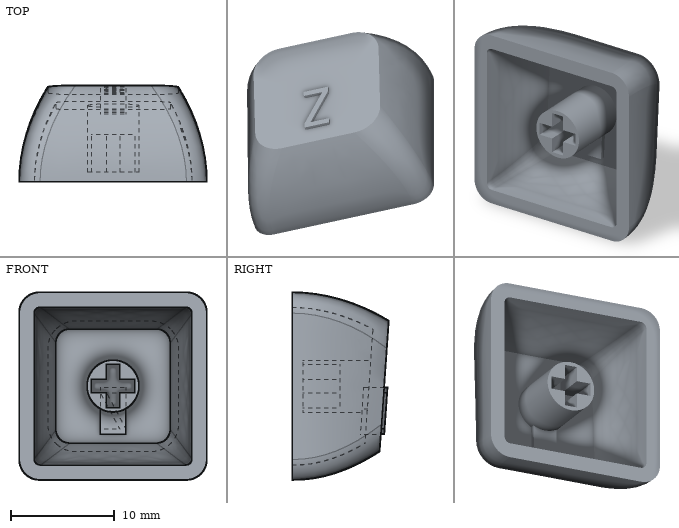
import cadquery as cq
import math

rim_size = 18.1
rim_corner_radius = 2.0
touch_size = 12.6
touch_corner_radius = 2.65
touch_height = 8.87
touch_tilt = 4.0

section_count = 5
closing_power = 2.0
tilt_power = 1.5

plate_thickness = 1.5
mouth_size = 15.2
mouth_corner_radius = 0.6
floor_size = 11.0
floor_corner_radius = 1.3
floor_height = touch_height - plate_thickness

stem_diameter = 5.0
stem_recess = 1.0
cross_span = 4.2
cross_slot_width = 1.27
cross_depth = 3.6

legend_width = 2.46
legend_height = 4.5
legend_center = -2.38
block_proud = 0.5
letter_proud = 0.33
letter_bar = 0.52
letter_diagonal = 0.6


def tilted_plane(height, tilt):
    """Plane looking toward +Y; its local x runs toward -X and its local y toward +Z."""
    angle = math.radians(tilt)
    return cq.Plane(
        origin=(0, height, 0),
        xDir=(-1, 0, 0),
        normal=(0, math.cos(angle), -math.sin(angle)),
    )


def rounded_square(size, radius, plane):
    """Sketch of a square with rounded corners, centred on a plane."""
    return cq.Sketch().rect(size, size).vertices().fillet(radius).moved(plane.location)


def curved_form(start_size, start_radius, end_size, end_radius, height):
    """Solid that rises from a flat rounded square to a smaller, tilted one along curved walls."""
    sections = []
    for index in range(section_count):
        rise = index / (section_count - 1)
        closing = rise**closing_power
        size = start_size + (end_size - start_size) * closing
        radius = start_radius + (end_radius - start_radius) * closing
        plane = tilted_plane(height * rise, touch_tilt * rise**tilt_power)
        sections.append(rounded_square(size, radius, plane))
    return cq.Workplane().placeSketch(*sections).loft()


def make_stem():
    """Round stem that ends inside the touch plate, past the tilted cavity floor."""
    length = touch_height - plate_thickness / 2 - stem_recess
    tip = cq.Workplane(tilted_plane(stem_recess, 0))
    stem = tip.circle(stem_diameter / 2).extrude(length)
    upright = tip.rect(cross_slot_width, cross_span).extrude(cross_depth)
    crossbar = tip.rect(cross_span, cross_slot_width).extrude(cross_depth)
    return stem.cut(upright).cut(crossbar)


def tilted_slab(bottom, top):
    """Slab parallel to the touch face, wide enough to trim any legend profile."""
    slab = cq.Workplane(tilted_plane(bottom, touch_tilt)).rect(touch_size, touch_size)
    return slab.extrude((top - bottom) * math.cos(math.radians(touch_tilt)))


def make_legend():
    """Profiles extruded along Y, with ends trimmed parallel to the touch face."""
    right = legend_width / 2
    top = legend_height / 2
    bar = top - letter_bar
    letter_outline = [
        (-right, top),
        (right, top),
        (right, bar),
        (letter_diagonal - right, -bar),
        (right, -bar),
        (right, -top),
        (-right, -top),
        (-right, -bar),
        (right - letter_diagonal, bar),
        (-right, bar),
    ]
    profile_length = 2 * touch_height
    letter_height = touch_height + letter_proud
    base = cq.Workplane(tilted_plane(0, 0)).center(0, legend_center)
    block = base.rect(legend_width, legend_height).extrude(profile_length)
    block = block.intersect(tilted_slab(floor_height - block_proud, touch_height))
    letter = base.polyline(letter_outline).close().extrude(profile_length)
    letter = letter.intersect(tilted_slab(touch_height, letter_height))
    return block.union(letter)


legend = make_legend()
outer_form = curved_form(rim_size, rim_corner_radius, touch_size, touch_corner_radius, touch_height)
cavity = curved_form(mouth_size, mouth_corner_radius, floor_size, floor_corner_radius, floor_height)
cap = outer_form.cut(cavity).union(make_stem()).cut(legend)

result = cq.Compound.makeCompound([cap.val(), legend.val()])